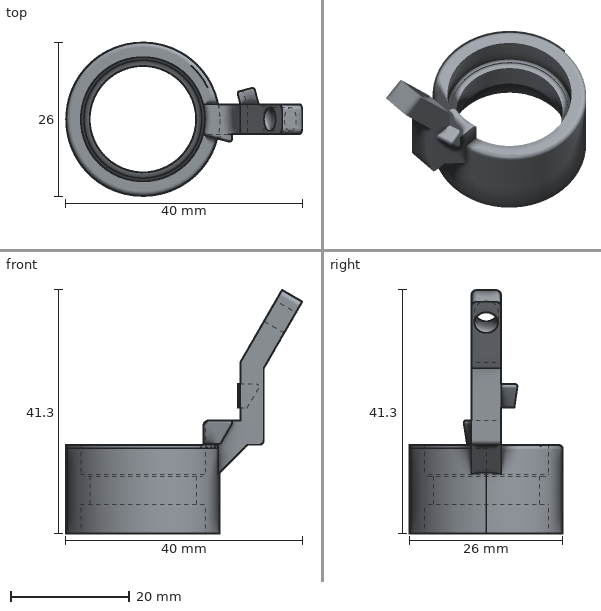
import cadquery as cq
import math

RING_RADIUS = 13.0
RING_HEIGHT = 15.0
RIM_FILLET = 0.8
SEAT_RADIUS = 10.52
LEDGE_RADIUS = 10.0
COLLAR_RADIUS = 9.0
COLLAR_HEIGHT = RING_HEIGHT / 3
LEDGE_DEPTH = 0.35
SLEEVE_STANDOFF = 0.02

ARM_WIDTH = 5.05
ARM_THICKNESS = 3.95
ARM_X = 16.5
ARM_BEND_ANGLE = 30
ARM_HEIGHT = 41.25
ARM_UPPER_LENGTH = 14.1
ARM_FOOT_FILLET = 0.8
ARM_TIP_FILLET = 1.0
FOOT_HEIGHT = 4.15
BRACE_X = 17.7
HOLE_DIAMETER = 4.0
HOLE_FROM_TIP = 4.13

LUG_HEIGHT = 4.0
LUG_PLAN_ANGLE = 15
LUG_END_ANGLE = 30
LUG_FILLET = 0.45
FOOT_FILLET = 1.0
LOWER_LUG_END_X = 15.45
LOWER_LUG_STANDOFF = 0.12
UPPER_LUG_Z = 21.35
UPPER_LUG_REACH = 2.2
UPPER_LUG_LENGTH = 3.35

foot_top = RING_HEIGHT + FOOT_HEIGHT
arm_outer_x = ARM_X + ARM_THICKNESS
bend = math.radians(ARM_BEND_ANGLE)
lug_plan = math.radians(LUG_PLAN_ANGLE)
lug_taper = LUG_HEIGHT * math.tan(math.radians(LUG_END_ANGLE))


def cylinder(radius, bottom, top):
    return cq.Workplane("XY").workplane(offset=bottom).circle(radius).extrude(top - bottom)


def make_ring():
    collar_top = 2 * COLLAR_HEIGHT
    ring = cylinder(RING_RADIUS, 0, RING_HEIGHT).faces(">Z").edges().fillet(RIM_FILLET)
    ring = ring.cut(cylinder(SEAT_RADIUS, 0, COLLAR_HEIGHT))
    ring = ring.cut(cylinder(COLLAR_RADIUS, COLLAR_HEIGHT, collar_top))
    ring = ring.cut(cylinder(LEDGE_RADIUS, collar_top - LEDGE_DEPTH, collar_top))
    return ring.cut(cylinder(SEAT_RADIUS, collar_top, RING_HEIGHT))


def make_half_sleeve():
    outer = RING_RADIUS + SLEEVE_STANDOFF
    inner = RING_RADIUS - SLEEVE_STANDOFF
    return (
        cq.Workplane("XY")
        .moveTo(-outer, 0)
        .threePointArc((0, -outer), (outer, 0))
        .lineTo(inner, 0)
        .threePointArc((0, -inner), (-inner, 0))
        .close()
        .extrude(RING_HEIGHT)
    )


def make_arm():
    tip_x = ARM_X + ARM_UPPER_LENGTH * math.sin(bend)
    inner_bend_z = ARM_HEIGHT - ARM_UPPER_LENGTH * math.cos(bend)
    outer_bend_z = inner_bend_z - ARM_THICKNESS * math.tan(bend / 2)
    outer_tip = (
        tip_x + ARM_THICKNESS * math.cos(bend),
        ARM_HEIGHT - ARM_THICKNESS * math.sin(bend),
    )
    root_x = (SEAT_RADIUS + RING_RADIUS) / 2
    outline = [
        (COLLAR_RADIUS, RING_HEIGHT),
        (COLLAR_RADIUS, foot_top),
        (ARM_X, foot_top),
        (ARM_X, inner_bend_z),
        (tip_x, ARM_HEIGHT),
        outer_tip,
        (arm_outer_x, outer_bend_z),
        (arm_outer_x, RING_HEIGHT),
        (BRACE_X, RING_HEIGHT),
        (root_x, RING_HEIGHT - (BRACE_X - root_x)),
        (root_x, RING_HEIGHT),
    ]
    arm = cq.Workplane("XZ").polyline(outline).close().extrude(ARM_WIDTH / 2, both=True)
    foot_corner = cq.selectors.NearestToPointSelector((arm_outer_x, 0, RING_HEIGHT))
    arm = arm.edges(foot_corner).fillet(ARM_FOOT_FILLET)

    along = cq.Vector(math.sin(bend), 0, math.cos(bend))
    across = cq.Vector(math.cos(bend), 0, -math.sin(bend))
    inner_tip = cq.Vector(tip_x, 0, ARM_HEIGHT)
    tip_face = arm.faces(cq.selectors.DirectionMinMaxSelector(along))
    arm = tip_face.edges(cq.selectors.ParallelDirSelector(across)).fillet(ARM_TIP_FILLET)
    hole_centre = inner_tip - along * HOLE_FROM_TIP
    hole = cq.Solid.makeCylinder(HOLE_DIAMETER / 2, ARM_THICKNESS, hole_centre, across)
    return arm.cut(cq.Workplane(hole))


def wedge(plane, near, far, bottom, depth):
    """Block with an upright near end and a far end that slopes in towards the bottom."""
    top = bottom + LUG_HEIGHT
    outline = [(near, bottom), (near, top), (far, top), (far - lug_taper, bottom)]
    return cq.Workplane(plane).polyline(outline).close().extrude(depth)


def add_lower_lug(arm):
    """Widen the foot on the -Y side, trim it to the bore and round its edges."""
    lug = wedge(cq.Plane.XZ(), COLLAR_RADIUS, LOWER_LUG_END_X, foot_top - LUG_HEIGHT, ARM_WIDTH)
    near_y = ARM_WIDTH / 2 + LOWER_LUG_STANDOFF
    bore_corner = (math.sqrt(SEAT_RADIUS**2 - near_y**2), -near_y, 0)
    outward = (-math.sin(lug_plan), -math.cos(lug_plan), 0)
    flank = cq.Plane(bore_corner, xDir=(math.cos(lug_plan), -math.sin(lug_plan), 0), normal=outward)
    beyond_flank = cq.Workplane(flank).rect(4 * ARM_WIDTH, 4 * ARM_HEIGHT).extrude(ARM_WIDTH)
    foot = arm.union(lug.cut(beyond_flank)).cut(cylinder(SEAT_RADIUS, 0, ARM_HEIGHT))

    bore_edge = cq.selectors.NearestToPointSelector((SEAT_RADIUS, 0, foot_top))
    foot = foot.edges(bore_edge).fillet(FOOT_FILLET)
    flank_face = foot.faces(cq.selectors.DirectionMinMaxSelector(cq.Vector(outward)))
    flank_edges = flank_face.edges("not <Z")
    far_top = foot.edges(cq.selectors.NearestToPointSelector((LOWER_LUG_END_X, -ARM_WIDTH, foot_top)))
    return foot.newObject(flank_edges.vals() + far_top.vals()).fillet(LUG_FILLET)


def make_upper_lug():
    inward = (math.sin(lug_plan), -math.cos(lug_plan), 0)
    corner = cq.Vector(ARM_X, ARM_WIDTH / 2, 0) - cq.Vector(inward) * UPPER_LUG_REACH
    outer_face = cq.Plane(corner, xDir=(math.cos(lug_plan), math.sin(lug_plan), 0), normal=inward)
    lug = wedge(outer_face, 0, UPPER_LUG_LENGTH, UPPER_LUG_Z, 2 * UPPER_LUG_REACH)
    flank_face = lug.faces(cq.selectors.DirectionMinMaxSelector(cq.Vector(inward), False))
    flank_edges = flank_face.edges("not <Z")
    far_top = lug.faces(">Z").edges(">X")
    return lug.newObject(flank_edges.vals() + far_top.vals()).fillet(LUG_FILLET)


arm = add_lower_lug(make_arm()).union(make_upper_lug())
result = make_ring().union(make_half_sleeve()).union(arm)